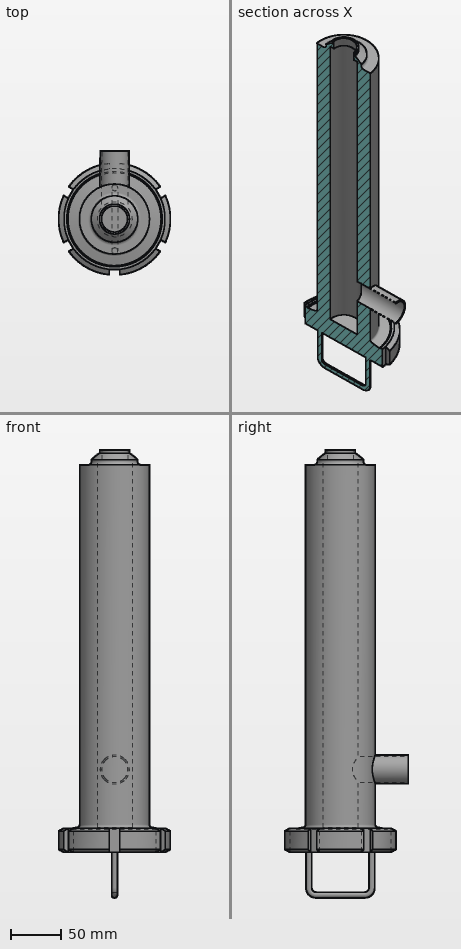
import cadquery as cq
import math

tube_radius = 35.0
tube_base = 12.0
tube_top = 387.0

nut_radius = 56.0
nut_height = 24.4
nut_face_radius = 50.5
nut_chamfer_height = 3.0
slot_count = 6
slot_width = 10.0
first_slot_angle = 90.0

collar_top = nut_height + 0.8
collar_inner_radius = 37.5
collar_outer_radius = 46.5
recess_depth = 1.0
recess_chamfer = 1.2
tube_fillet = collar_inner_radius - tube_radius

cap_radius = 23.2
cap_fillet = 3.3
cap_straight_height = 5.3
neck_radius = 15.0
neck_bore_radius = 13.0
neck_base_height = 11.8
neck_height = 15.0
neck_bore_depth = 10.0
dome_radius = 50.0

flow_bore_radius = 17.5
flow_bore_floor = collar_top

branch_radius = 14.5
branch_bore_radius = 13.0
branch_root = 25.0
branch_end = 68.0
branch_height = 83.0

overall_height = 447.5
handle_wire_radius = 3.0
handle_bend_radius = 7.0
handle_half_span = 31.4
handle_embed = 5.0
handle_bottom = tube_top + neck_height - overall_height


def fillet_midpoint(center_r, center_z, radius):
    """Middle of a concave fillet arc whose centre lies outside and above the corner."""
    offset = radius * math.sqrt(0.5)
    return (center_r - offset, center_z - offset)


def revolve_profile(profile):
    """Turn a radius/height profile around the Z axis."""
    return profile.close().revolve(360, (0, 0, 0), (0, 1, 0))


def make_nut():
    """Chamfered slotted nut with the sloping collar rising from its upper face."""
    recess_z = nut_height - recess_depth
    profile = (
        cq.Workplane("XZ")
        .moveTo(0, 0)
        .lineTo(nut_face_radius, 0)
        .lineTo(nut_radius, nut_chamfer_height)
        .lineTo(nut_radius, nut_height - nut_chamfer_height)
        .lineTo(nut_face_radius, nut_height)
        .lineTo(collar_outer_radius + recess_chamfer, nut_height)
        .lineTo(collar_outer_radius, recess_z)
        .lineTo(collar_inner_radius, collar_top)
        .lineTo(0, collar_top)
    )
    nut = revolve_profile(profile)
    slot_depth = 2 * (nut_radius - nut_face_radius)
    slot = cq.Workplane("XY").box(
        slot_depth, slot_width, nut_height, centered=(False, True, False)
    ).translate((nut_face_radius, 0, 0))
    for index in range(slot_count):
        angle = first_slot_angle + index * 360 / slot_count
        nut = nut.cut(slot.rotate((0, 0, 0), (0, 0, 1), angle))
    return nut


def make_tube():
    """Tube with a fillet at its foot, a domed cap, an open neck and the flow bore."""
    fillet_z = collar_top + tube_fillet
    cap_fillet_radius = cap_radius + cap_fillet
    cap_fillet_z = tube_top + cap_fillet
    dome_start = (cap_radius, tube_top + cap_straight_height)
    dome_end = (neck_radius, tube_top + neck_base_height)
    neck_top = tube_top + neck_height
    neck_bore_end = neck_top - neck_bore_depth
    profile = (
        cq.Workplane("XZ")
        .moveTo(0, tube_base)
        .lineTo(collar_inner_radius, tube_base)
        .lineTo(collar_inner_radius, collar_top)
        .threePointArc(
            fillet_midpoint(collar_inner_radius, fillet_z, tube_fillet),
            (tube_radius, fillet_z),
        )
        .lineTo(tube_radius, tube_top)
        .lineTo(cap_fillet_radius, tube_top)
        .threePointArc(
            fillet_midpoint(cap_fillet_radius, cap_fillet_z, cap_fillet),
            (cap_radius, cap_fillet_z),
        )
        .lineTo(*dome_start)
        .radiusArc(dome_end, -dome_radius)
        .lineTo(neck_radius, neck_top)
        .lineTo(neck_bore_radius, neck_top)
        .lineTo(neck_bore_radius, neck_bore_end)
        .lineTo(flow_bore_radius, neck_bore_end)
        .lineTo(flow_bore_radius, flow_bore_floor)
        .lineTo(0, flow_bore_floor)
    )
    return revolve_profile(profile)


def branch_cylinder(radius, start):
    """Cylinder along +Y at branch height, from Y = start to the branch end."""
    return (
        cq.Workplane("XZ", origin=(0, start, branch_height))
        .circle(radius)
        .extrude(start - branch_end)
    )


def make_handle():
    """Round-wire loop in the YZ plane, its two legs anchored in the nut."""
    path_bottom = handle_bottom + handle_wire_radius
    bend_top = path_bottom + handle_bend_radius
    bend_start = handle_half_span - handle_bend_radius
    path = (
        cq.Workplane("YZ")
        .moveTo(-handle_half_span, handle_embed)
        .lineTo(-handle_half_span, bend_top)
        .radiusArc((-bend_start, path_bottom), -handle_bend_radius)
        .lineTo(bend_start, path_bottom)
        .radiusArc((handle_half_span, bend_top), -handle_bend_radius)
        .lineTo(handle_half_span, handle_embed)
    )
    return (
        cq.Workplane("XY", origin=(0, -handle_half_span, handle_embed))
        .circle(handle_wire_radius)
        .sweep(path)
    )


body = make_nut().union(make_tube())
body = body.union(branch_cylinder(branch_radius, branch_root))
body = body.cut(branch_cylinder(branch_bore_radius, 0))
result = body.union(make_handle())